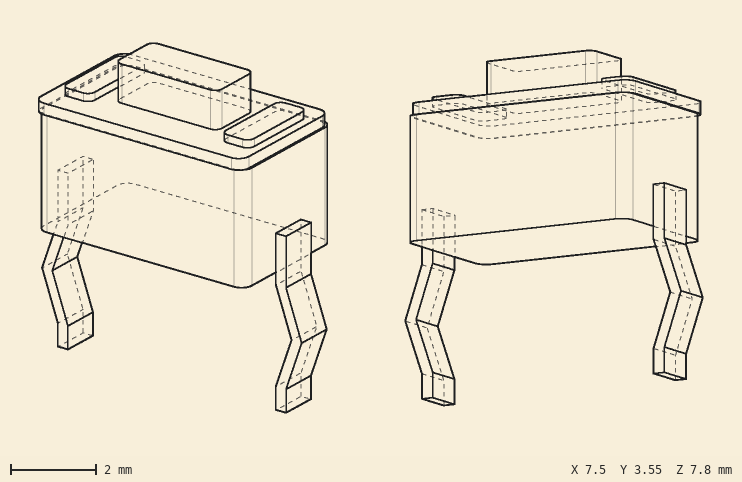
import cadquery as cq

total_height = 7.8
body_bottom = 3.5
body_height = 3.0
cap_thickness = 0.3
pad_height = 0.2

body_length = 6.0
body_width = 3.5
body_corner_radius = 0.3
cap_offset = 0.05

button_length = 2.95
button_width = 1.47
pad_length = 0.81
pad_width = 2.3
pad_spacing = 4.6
small_corner_radius = 0.195

leg_width = 1.0
leg_thickness = 0.3
leg_top = 4.5
upper_bend = 3.19
lower_bend = 0.6
kink_reach = 0.45

body_top = body_bottom + body_height
cap_top = body_top + cap_thickness


def rounded_block(length, width, bottom, top, radius, x=0, y=0):
    """Upright block with rounded vertical corners, centred at (x, y)."""
    return (
        cq.Workplane("XY", origin=(x, y, bottom))
        .rect(length, width)
        .extrude(top - bottom)
        .edges("|Z")
        .fillet(radius)
    )


def leg(side):
    """Strip bent outward halfway down; side is -1 for -X and +1 for +X."""
    inner_x = body_length / 2
    kink_height = (upper_bend + lower_bend) / 2
    inner_edge = [
        (inner_x, leg_top),
        (inner_x, upper_bend),
        (inner_x + kink_reach, kink_height),
        (inner_x, lower_bend),
        (inner_x, 0),
    ]
    outer_edge = [(x + leg_thickness, z) for x, z in reversed(inner_edge)]
    profile = [(side * x, z) for x, z in inner_edge + outer_edge]
    return cq.Workplane("XZ").polyline(profile).close().extrude(leg_width / 2, both=True)


body = rounded_block(body_length, body_width, body_bottom, body_top, body_corner_radius)
cap = rounded_block(
    body_length, body_width, body_top, cap_top, body_corner_radius, -cap_offset, -cap_offset
)
button = rounded_block(button_length, button_width, cap_top, total_height, small_corner_radius)

result = body.union(cap).union(button)
for side in (-1, 1):
    pad = rounded_block(
        pad_length,
        pad_width,
        cap_top,
        cap_top + pad_height,
        small_corner_radius,
        x=side * pad_spacing / 2,
    )
    result = result.union(pad).union(leg(side))